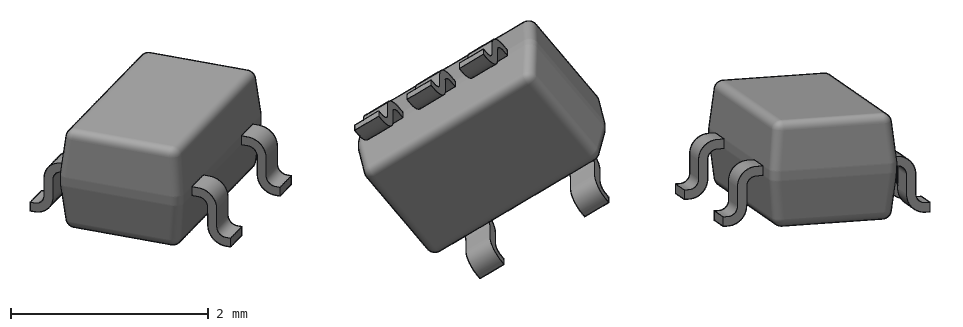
import cadquery as cq
import math

housing_width = 1.35
housing_length = 2.2
housing_height = 1.1
band_height = 0.1
draft_angle = 6.0
edge_radius = 0.1

lead_span = 2.2
lead_width = 0.3
lead_thickness = 0.1
lead_pitch = 0.65
outer_bend_radius = 0.2
foot_flat = 0.05
inner_bend_radius = outer_bend_radius - lead_thickness

LEFT = -1
RIGHT = 1
lead_places = [(LEFT, -1), (LEFT, 0), (LEFT, 1), (RIGHT, -1), (RIGHT, 1)]


def make_housing():
    """Block with a straight band at mid height, drafted above and below it, all edges rounded."""
    half_band = band_height / 2
    draft_height = (housing_height - band_height) / 2
    middle = (
        cq.Workplane("XY")
        .workplane(offset=housing_height / 2 - half_band)
        .rect(housing_width, housing_length)
        .extrude(band_height)
    )
    upper = middle.faces(">Z").workplane().rect(housing_width, housing_length)
    upper = upper.extrude(draft_height, combine=False, taper=draft_angle)
    lower = middle.faces("<Z").workplane().rect(housing_width, housing_length)
    lower = lower.extrude(draft_height, combine=False, taper=draft_angle)
    return middle.union(upper).union(lower).edges().fillet(edge_radius)


def make_lead(side, row):
    """Gull-wing lead butting against the band, centred on its row."""
    tip_x = lead_span / 2
    root_x = housing_width / 2
    shoulder_top = (housing_height + lead_thickness) / 2
    shoulder_bottom = shoulder_top - lead_thickness
    foot_bend_x = tip_x - foot_flat
    shank_inner_x = foot_bend_x - outer_bend_radius
    shank_outer_x = shank_inner_x + lead_thickness
    shoulder_bend_x = shank_outer_x - outer_bend_radius
    shank_bottom = outer_bend_radius
    shank_top = shoulder_top - outer_bend_radius

    outer_mid = outer_bend_radius * math.sqrt(0.5)
    inner_mid = inner_bend_radius * math.sqrt(0.5)

    profile = (
        cq.Workplane("XZ")
        .moveTo(tip_x, 0)
        .lineTo(foot_bend_x, 0)
        .threePointArc((foot_bend_x - outer_mid, shank_bottom - outer_mid), (shank_inner_x, shank_bottom))
        .lineTo(shank_inner_x, shank_top)
        .threePointArc((shoulder_bend_x + inner_mid, shank_top + inner_mid), (shoulder_bend_x, shoulder_bottom))
        .lineTo(root_x, shoulder_bottom)
        .lineTo(root_x, shoulder_top)
        .lineTo(shoulder_bend_x, shoulder_top)
        .threePointArc((shoulder_bend_x + outer_mid, shank_top + outer_mid), (shank_outer_x, shank_top))
        .lineTo(shank_outer_x, shank_bottom)
        .threePointArc((foot_bend_x - inner_mid, shank_bottom - inner_mid), (foot_bend_x, lead_thickness))
        .lineTo(tip_x, lead_thickness)
        .close()
    )
    lead = profile.extrude(lead_width / 2, both=True)
    if side == LEFT:
        lead = lead.mirror("YZ")
    return lead.translate((0, row * lead_pitch, 0))


housing = make_housing().solids().val()
leads = [make_lead(side, row).solids().val() for side, row in lead_places]

result = cq.Compound.makeCompound([housing, *leads])